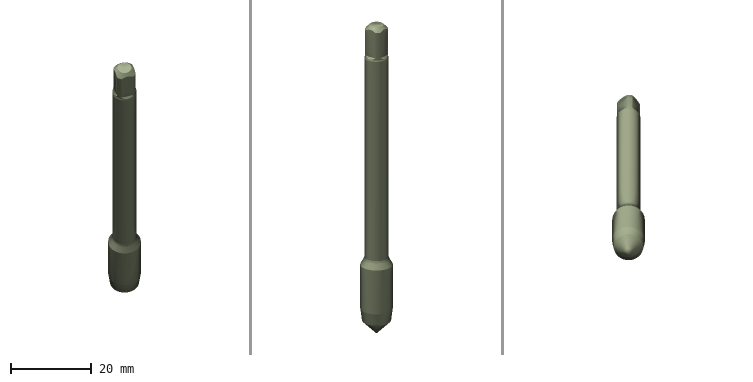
import cadquery as cq
import math

total_length = 83.4
flat_bottom_z = 75.4
shank_shoulder_z = 74.55
shoulder_height = 0.3
collar_top_z = 20.8
collar_flare_height = 0.5
collar_cone_height = 1.6
collar_land_height = 0.25
taper_top_z = 6.8
head_top_z = collar_top_z - collar_flare_height - collar_cone_height - collar_land_height

shank_diameter = 6.0
drive_diameter = 5.75
collar_flare_diameter = 6.3
head_diameter = 8.1
taper_end_diameter = 7.25
drive_end_diameter = 3.4

across_flats = 4.8
runout_angle = 45.0
drive_chamfer_angle = 45.0
point_angle = 90.0


def revolve_profile(points):
    """Turn an (r, z) outline around the Z axis."""
    return cq.Workplane("XZ").polyline(points).close().revolve(360, (0, 0), (0, 1))


def drive_flat_cutter():
    """Wedge outside one flat, with a sloping floor that runs out of the round stock."""
    flat_x = across_flats / 2
    outer_x = shank_diameter
    runout_drop = (outer_x - flat_x) * math.tan(math.radians(runout_angle))
    outline = [
        (flat_x, flat_bottom_z),
        (outer_x, flat_bottom_z - runout_drop),
        (outer_x, total_length),
        (flat_x, total_length),
    ]
    return cq.Workplane("XZ").polyline(outline).close().extrude(shank_diameter / 2, both=True)


def make_shank():
    """Round shank with a square drive on top and a flared collar below."""
    shank_radius = shank_diameter / 2
    drive_radius = drive_diameter / 2
    end_radius = drive_end_diameter / 2
    flare_radius = collar_flare_diameter / 2
    chamfer_height = (drive_radius - end_radius) * math.tan(math.radians(drive_chamfer_angle))
    shank = revolve_profile([
        (0, head_top_z),
        (head_diameter / 2, head_top_z),
        (head_diameter / 2, head_top_z + collar_land_height),
        (flare_radius, collar_top_z - collar_flare_height),
        (shank_radius, collar_top_z),
        (shank_radius, shank_shoulder_z),
        (drive_radius, shank_shoulder_z + shoulder_height),
        (drive_radius, total_length - chamfer_height),
        (end_radius, total_length),
        (0, total_length),
    ])
    flat_count = 4
    cutter = drive_flat_cutter()
    for index in range(flat_count):
        angle = index * 360 / flat_count
        shank = shank.cut(cutter.rotate((0, 0, 0), (0, 0, 1), angle))
    return shank


def make_head():
    """Cylindrical working head with a slight taper and a conical point."""
    head_radius = head_diameter / 2
    taper_end_radius = taper_end_diameter / 2
    point_height = taper_end_radius / math.tan(math.radians(point_angle / 2))
    return revolve_profile([
        (0, 0),
        (taper_end_radius, point_height),
        (head_radius, taper_top_z),
        (head_radius, head_top_z),
        (0, head_top_z),
    ])


shank = make_shank()
head = make_head()
result = cq.Compound.makeCompound([shank.val(), head.val()])